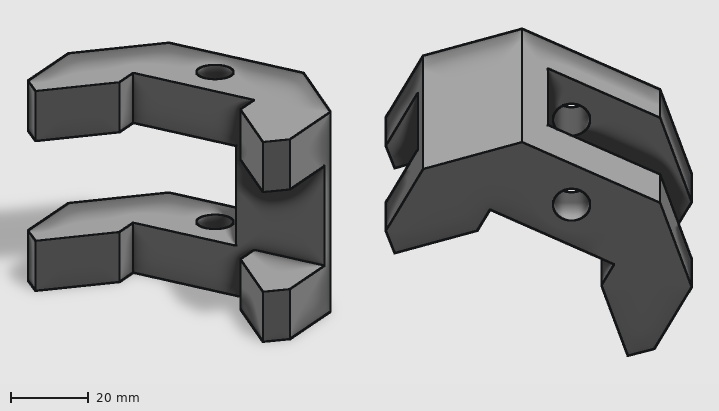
import cadquery as cq

width = 78.0
depth = 45.0
height = 56.0

plate_thickness = 14.05
back_bevel = 18.95
web_depth = 22.0
notch_width = 36.0
notch_wall = 7.2
tip_side = 5.0

hole_diameter = 9.6
block_length = 26.45

half_width = width / 2
half_notch = notch_width / 2
flare = depth - web_depth - notch_wall
tip_x = half_notch + flare


def make_plate():
    """C-shaped plate with one hole centred in its web."""
    right_half = [
        (half_width - back_bevel, 0),
        (half_width, -back_bevel),
        (half_width, -depth + tip_side),
        (tip_x, -depth),
        (half_notch, -web_depth - notch_wall),
        (half_notch, -web_depth),
    ]
    left_half = [(-x, y) for x, y in reversed(right_half)]
    plate = cq.Workplane("XY").polyline(right_half + left_half).close().extrude(plate_thickness)
    hole = (
        cq.Workplane("XY")
        .center(0, -web_depth / 2)
        .circle(hole_diameter / 2)
        .extrude(plate_thickness)
    )
    return plate.cut(hole)


def make_block():
    """Full-height block at the +X end of the web, following the back bevel."""
    outline = [
        (half_width - block_length, 0),
        (half_width - back_bevel, 0),
        (half_width, -back_bevel),
        (half_width, -web_depth),
        (half_width - block_length, -web_depth),
    ]
    return cq.Workplane("XY").polyline(outline).close().extrude(height)


lower_plate = make_plate()
upper_plate = lower_plate.translate((0, 0, height - plate_thickness))
result = lower_plate.union(upper_plate).union(make_block())